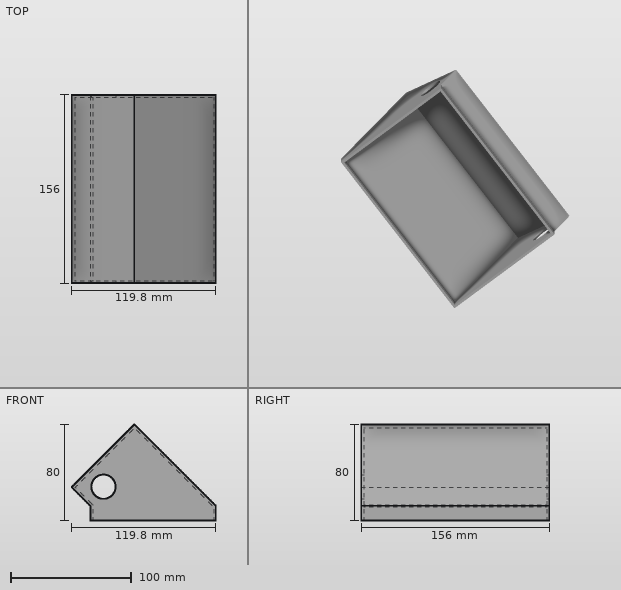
import cadquery as cq

length = 156.0
width = 119.8
height = 80.0

skirt_height = 12.3
wall = 2.0

hole_diameter = 20.0
hole_x = 26.5
hole_z = 28.2

right_run = height - skirt_height
apex_x = width - right_run
tip_height = height - apex_x
overhang = tip_height - skirt_height


def make_housing():
    """Gabled hollow housing of even wall thickness, open at the bottom."""
    outline = [
        (overhang, 0),
        (width, 0),
        (width, skirt_height),
        (apex_x, height),
        (0, tip_height),
        (overhang, skirt_height),
    ]
    solid = cq.Workplane("XZ").polyline(outline).close().extrude(-length)
    return solid.faces("<Z").shell(-wall, kind="intersection")


def make_hole_cutter():
    """Cylinder running through both end walls."""
    return (
        cq.Workplane("XZ")
        .center(hole_x, hole_z)
        .circle(hole_diameter / 2)
        .extrude(-length)
    )


result = make_housing().cut(make_hole_cutter())